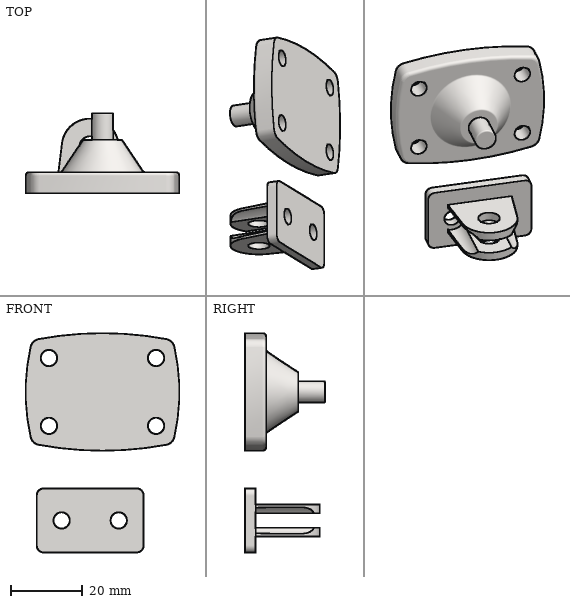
import cadquery as cq
import math

plate_width = 43.15
plate_height = 33.0
plate_thickness = 6.0
side_arc_radius = 57.0
top_arc_radius = 97.0
plate_corner_radius = 3.0
plate_rim_fillet = 1.0

plate_hole_diameter = 4.5
plate_hole_pitch_x = 30.0
plate_hole_pitch_z = 19.0

cone_base_radius = 11.5
cone_top_radius = 5.5
cone_height = 9.0
cone_fillet = 0.5
cone_top_y = plate_thickness + cone_height

pin_diameter = 6.0
pin_length = 7.5
pin_tip_fillet = 0.4

bracket_center_x = -3.45
bracket_center_z = -36.0
bracket_width = 30.0
bracket_height = 18.0
bracket_thickness = 3.0
bracket_corner_radius = 2.0

screw_hole_diameter = 4.5
screw_hole_pitch = 16.0
screw_head_clearance = 7.5

lug_thickness = 2.5
lug_gap = 4.0
lug_tip_radius = 8.0
lug_eye_y = 13.0
lug_eye_diameter = pin_diameter
lug_taper_angle = math.radians(7.0)


def plane_xz(x, y, z):
    """Sketch plane facing -Y: local x is +X, local y is +Z, and a negative extrusion grows toward +Y."""
    return cq.Workplane("XZ", origin=(x, y, z))


def make_base():
    half_width = plate_width / 2
    half_height = plate_height / 2
    plate = plane_xz(0, 0, 0).rect(plate_width, plate_height).extrude(-plate_thickness)
    for side in (-1, 1):
        side_disc_x = side * (half_width - side_arc_radius)
        top_disc_z = side * (half_height - top_arc_radius)
        side_disc = plane_xz(side_disc_x, 0, 0).circle(side_arc_radius).extrude(-plate_thickness)
        top_disc = plane_xz(0, 0, top_disc_z).circle(top_arc_radius).extrude(-plate_thickness)
        plate = plate.intersect(side_disc).intersect(top_disc)
    plate = plate.edges("|Y").fillet(plate_corner_radius)
    plate = plate.faces(">Y").edges().fillet(plate_rim_fillet)

    cone = (
        cq.Workplane("XY")
        .polyline([
            (0, plate_thickness),
            (cone_base_radius, plate_thickness),
            (cone_top_radius, cone_top_y),
            (0, cone_top_y),
        ])
        .close()
        .revolve(360, (0, 0), (0, 1))
    )
    base = plate.union(cone)
    for rim_y in (plate_thickness, cone_top_y):
        cone_rim = cq.selectors.NearestToPointSelector((0, rim_y, 0))
        base = base.edges(cone_rim).fillet(cone_fillet)
    holes = (
        plane_xz(0, 0, 0)
        .rarray(plate_hole_pitch_x, plate_hole_pitch_z, 2, 2)
        .circle(plate_hole_diameter / 2)
        .extrude(-plate_thickness)
    )
    return base.cut(holes)


def make_pin():
    pin = plane_xz(0, cone_top_y, 0).circle(pin_diameter / 2).extrude(-pin_length)
    return pin.faces(">Y").edges().fillet(pin_tip_fillet)


def make_lug(bottom_z):
    tangent_x = lug_tip_radius * math.cos(lug_taper_angle)
    tangent_y = lug_eye_y + lug_tip_radius * math.sin(lug_taper_angle)
    root_x = tangent_x + (tangent_y - bracket_thickness) * math.tan(lug_taper_angle)
    return (
        cq.Workplane("XY", origin=(bracket_center_x, 0, bottom_z))
        .moveTo(-root_x, bracket_thickness)
        .lineTo(-tangent_x, tangent_y)
        .threePointArc((0, lug_eye_y + lug_tip_radius), (tangent_x, tangent_y))
        .lineTo(root_x, bracket_thickness)
        .close()
        .moveTo(0, lug_eye_y)
        .circle(lug_eye_diameter / 2)
        .extrude(lug_thickness)
    )


def screw_cylinders(diameter, start_y, end_y):
    """Pair of cylinders along Y on the two screw axes of the bracket."""
    return (
        plane_xz(bracket_center_x, start_y, bracket_center_z)
        .rarray(screw_hole_pitch, 1, 2, 1)
        .circle(diameter / 2)
        .extrude(start_y - end_y)
    )


def make_bracket():
    bracket = (
        plane_xz(bracket_center_x, 0, bracket_center_z)
        .rect(bracket_width, bracket_height)
        .extrude(-bracket_thickness)
        .edges("|Y")
        .fillet(bracket_corner_radius)
    )
    for bottom_z in (lug_gap / 2, -lug_gap / 2 - lug_thickness):
        bracket = bracket.union(make_lug(bracket_center_z + bottom_z))
    bracket = bracket.cut(screw_cylinders(screw_hole_diameter, 0, bracket_thickness))
    lug_end_y = lug_eye_y + lug_tip_radius
    return bracket.cut(screw_cylinders(screw_head_clearance, bracket_thickness, lug_end_y))


base = make_base()
pin = make_pin()
bracket = make_bracket()

result = cq.Compound.makeCompound([base.val(), pin.val(), bracket.val()])